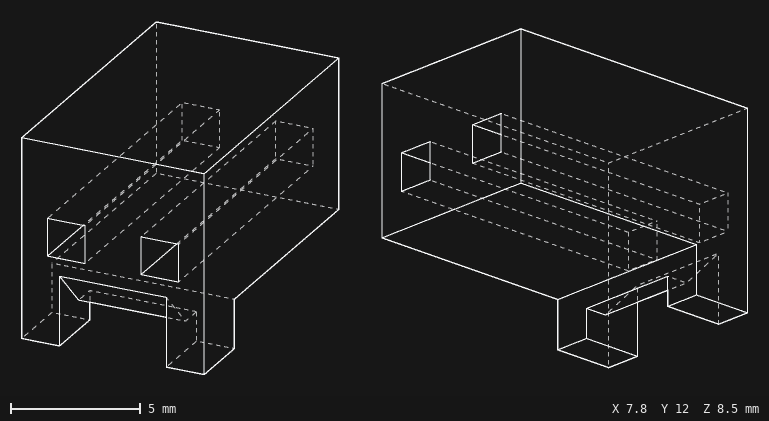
import cadquery as cq

width = 7.8
length = 12.0
height = 8.5

leg_height = 2.09
leg_depth = 2.7
leg_width = 1.62

slope_front_z = 2.95
lip_z = 1.25
slope_run = slope_front_z - lip_z

hole_size = 1.6
hole_spacing = 4.0
hole_center_z = 4.5

body = (
    cq.Workplane("YZ")
    .polyline([
        (0, 0),
        (leg_depth, 0),
        (leg_depth, leg_height),
        (length, leg_height),
        (length, height),
        (0, height),
    ])
    .close()
    .extrude(width / 2, both=True)
)

leg_gap = (
    cq.Workplane("YZ")
    .polyline([
        (0, 0),
        (leg_depth, 0),
        (leg_depth, lip_z),
        (slope_run, lip_z),
        (0, slope_front_z),
    ])
    .close()
    .extrude(width / 2 - leg_width, both=True)
)

holes = (
    cq.Workplane("XZ")
    .pushPoints([(side * hole_spacing / 2, hole_center_z) for side in (-1, 1)])
    .rect(hole_size, hole_size)
    .extrude(-length)
)

result = body.cut(leg_gap).cut(holes)